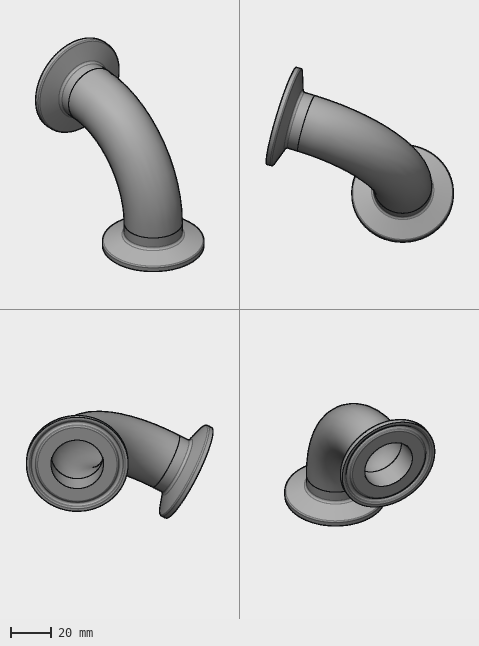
import cadquery as cq
import math

tube_diameter = 29.0
bore_diameter = 26.0
bend_radius = 50.0

flange_diameter = 50.5
ferrule_length = 13.0
rim_thickness = 2.75
cone_angle = 20.0
rim_fillet = 0.8
neck_fillet = 1.5

groove_pitch_diameter = 43.5
groove_half_width = 2.05
groove_bottom_radius = 1.1
groove_lip_radius = 0.95
groove_wall_angle = 65.0

tube_radius = tube_diameter / 2
bore_radius = bore_diameter / 2
flange_radius = flange_diameter / 2
groove_radius = groove_pitch_diameter / 2


def make_elbow():
    """Quarter bend from (0, 0, bend_radius) heading +X round to (bend_radius, 0, 0) heading -Z."""
    return (
        cq.Workplane("YZ", origin=(0, 0, bend_radius))
        .circle(tube_radius)
        .circle(bore_radius)
        .revolve(90, (-1, -bend_radius, 0), (1, -bend_radius, 0))
    )


def make_groove_cutter():
    """Ring above the sealing face; its section has a round bottom, tangent walls and rounded lips."""
    wall = math.radians(groove_wall_angle)
    half_wall = wall / 2

    lip_mid_offset = groove_half_width - groove_lip_radius * math.sin(half_wall)
    lip_mid_depth = groove_lip_radius * (1 - math.cos(half_wall))
    lip_end_offset = groove_half_width - groove_lip_radius * math.sin(wall)
    lip_end_depth = groove_lip_radius * (1 - math.cos(wall))
    wall_end_offset = groove_bottom_radius * math.sin(wall)
    wall_end_depth = lip_end_depth + (lip_end_offset - wall_end_offset) * math.tan(wall)
    groove_depth = wall_end_depth + groove_bottom_radius * (1 - math.cos(wall))

    return (
        cq.Workplane("XZ")
        .moveTo(groove_radius - groove_half_width, 0)
        .threePointArc(
            (groove_radius - lip_mid_offset, lip_mid_depth),
            (groove_radius - lip_end_offset, lip_end_depth),
        )
        .lineTo(groove_radius - wall_end_offset, wall_end_depth)
        .threePointArc(
            (groove_radius, groove_depth),
            (groove_radius + wall_end_offset, wall_end_depth),
        )
        .lineTo(groove_radius + lip_end_offset, lip_end_depth)
        .threePointArc(
            (groove_radius + lip_mid_offset, lip_mid_depth),
            (groove_radius + groove_half_width, 0),
        )
        .close()
        .revolve(360, (0, 0, 0), (0, 1, 0))
    )


def make_ferrule():
    """Clamp ferrule on the Z axis, with its sealing face at Z = 0 and its neck pointing up."""
    cone_rise = (flange_radius - tube_radius) * math.tan(math.radians(cone_angle))
    neck_start = rim_thickness + cone_rise
    blank = (
        cq.Workplane("XZ")
        .moveTo(bore_radius, 0)
        .lineTo(flange_radius, 0)
        .lineTo(flange_radius, rim_thickness)
        .lineTo(tube_radius, neck_start)
        .lineTo(tube_radius, ferrule_length)
        .lineTo(bore_radius, ferrule_length)
        .close()
        .revolve(360, (0, 0, 0), (0, 1, 0))
    )
    rim_edge = cq.selectors.NearestToPointSelector((0, 0, rim_thickness))
    neck_edge = cq.selectors.NearestToPointSelector((0, 0, neck_start))
    rounded = blank.edges(rim_edge).fillet(rim_fillet).edges(neck_edge).fillet(neck_fillet)
    return rounded.cut(make_groove_cutter())


elbow = make_elbow()

lower_ferrule = make_ferrule().translate((bend_radius, 0, -ferrule_length))
side_ferrule = (
    make_ferrule()
    .rotate((0, 0, 0), (0, 1, 0), 90)
    .translate((-ferrule_length, 0, bend_radius))
)

result = cq.Compound.makeCompound([elbow.val(), lower_ferrule.val(), side_ferrule.val()])